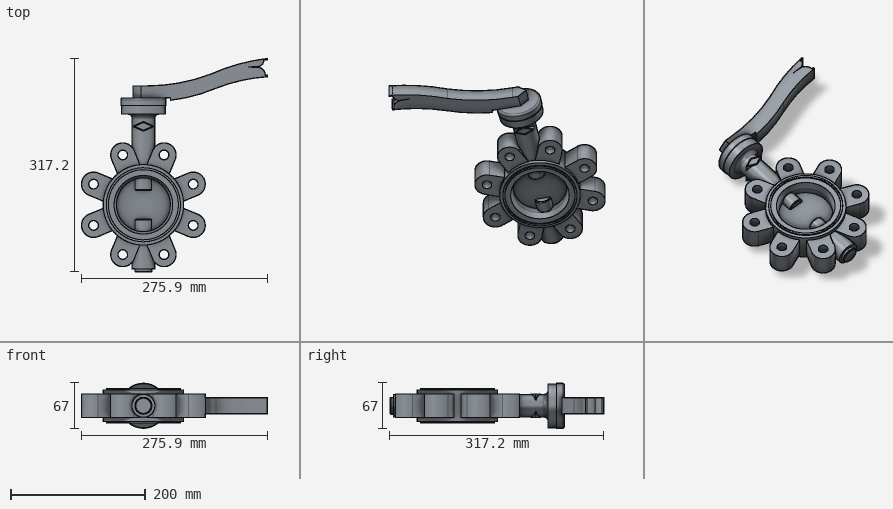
import cadquery as cq
import math


collar_radius = 59.75
collar_height = 47.0
rim_outer_radius = 55.0
rim_inner_radius = 52.0
rim_height = 2.0
bore_radius = 40.0
bore_mouth_radius = 43.5
bore_cone_depth = 11.0

lug_count = 8
lug_bolt_circle_radius = 80.0
lug_end_radius = 18.0
lug_height = 35.5
lug_hole_diameter = 14.0
lug_step_angle = 360 / lug_count
lug_inner_reach = 50.0

neck_radius = 17.0
neck_bottom_y = -95.0
stem_radius = 12.6
stem_bottom_y = -100.0
stem_gap_half = 21.0
stem_chamfer = 1.3

disc_thickness = 6.0

flange_bottom_y = 134.3
flange_split_y = 147.0
flange_top_y = 158.7
flange_lower_radius = 32.65
flange_upper_radius = 33.5
flange_top_fillet = 3.0
neck_flare = 5.6

diamond_y = 116.3
diamond_half_width = 14.9
diamond_half_length = 7.2
diamond_tip_half = 0.5
diamond_height = lug_height
diamond_frame = 1.2
diamond_recess = 0.5

lever_thickness = 24.0
lever_tip_x = -15.6
lever_end_x = 184.0
lever_seat_end_x = 40.1
lever_top_start = (5.0, 176.5)
lever_top_inflection = (100.0, 194.0)
lever_top_end = (lever_end_x, 217.2)
lever_top_radii = (265.0, 290.0)
lever_bottom_start = (lever_seat_end_x, 154.8)
lever_bottom_inflection = (108.0, 172.8)
lever_bottom_end = (lever_end_x, 189.8)
lever_bottom_radii = (250.0, 250.0)

fork_lip = 2.4
fork_upper_radius = 9.9
fork_lower_radius = 12.0
fork_mouth_x = 169.0
fork_slit_tip = (156.0, 204.5)


def stem_cylinder(radius, start_y, end_y):
    """Cylinder on the Y axis between two Y positions."""
    plane = cq.Plane(origin=(0, start_y, 0), xDir=(1, 0, 0), normal=(0, 1, 0))
    return cq.Workplane(plane).circle(radius).extrude(end_y - start_y)


def centred_disc(radius, height):
    """Cylinder on the Z axis, symmetric about Z = 0."""
    return cq.Workplane("XY").circle(radius).extrude(height / 2, both=True)


def make_lugs():
    """Ring of round-ended lugs."""
    lugs = cq.Workplane("XY")
    for index in range(lug_count):
        lug = (
            cq.Workplane("XY")
            .moveTo(lug_inner_reach, -lug_end_radius)
            .lineTo(lug_bolt_circle_radius, -lug_end_radius)
            .threePointArc(
                (lug_bolt_circle_radius + lug_end_radius, 0),
                (lug_bolt_circle_radius, lug_end_radius),
            )
            .lineTo(lug_inner_reach, lug_end_radius)
            .close()
            .extrude(lug_height / 2, both=True)
        )
        angle = (index + 0.5) * lug_step_angle
        lugs = lugs.add(lug.rotate((0, 0, 0), (0, 0, 1), angle))
    return lugs.combine()


def make_lug_holes():
    """Through holes on the bolt circle."""
    return (
        cq.Workplane("XY")
        .polarArray(lug_bolt_circle_radius, lug_step_angle / 2, 360, lug_count)
        .circle(lug_hole_diameter / 2)
        .extrude(lug_height, both=True)
    )


def make_neck():
    """Neck with its flare and the two-step top flange, revolved about the Y axis."""
    flare_radius = neck_radius + neck_flare
    flare_start_y = flange_bottom_y - neck_flare
    arc_offset = neck_flare * (1 - math.sqrt(0.5))
    profile = (
        cq.Workplane("XY")
        .moveTo(0, neck_bottom_y)
        .lineTo(neck_radius, neck_bottom_y)
        .lineTo(neck_radius, flare_start_y)
        .threePointArc(
            (neck_radius + arc_offset, flange_bottom_y - arc_offset),
            (flare_radius, flange_bottom_y),
        )
        .lineTo(flange_lower_radius, flange_bottom_y)
        .lineTo(flange_lower_radius, flange_split_y)
        .lineTo(flange_upper_radius, flange_split_y)
        .lineTo(flange_upper_radius, flange_top_y)
        .lineTo(0, flange_top_y)
        .close()
    )
    neck = profile.revolve(360, (0, 0, 0), (0, 1, 0))
    return neck.faces(">Y").edges().fillet(flange_top_fillet)


def diamond_outline(plane_z):
    """Diamond with blunt side tips, drawn at the given height."""
    return (
        cq.Workplane("XY", origin=(0, diamond_y, plane_z))
        .polyline([
            (diamond_half_width, -diamond_tip_half),
            (diamond_half_width, diamond_tip_half),
            (0, diamond_half_length),
            (-diamond_half_width, diamond_tip_half),
            (-diamond_half_width, -diamond_tip_half),
            (0, -diamond_half_length),
        ])
        .close()
    )


def make_diamond_pads():
    """Diamond prism through the neck; each proud end has a shallow recess inside a narrow frame."""
    half = diamond_height / 2
    floor_z = half - diamond_recess
    recess = diamond_outline(floor_z).offset2D(-diamond_frame).extrude(diamond_recess)
    prism = diamond_outline(0).extrude(half, both=True)
    return prism.cut(recess).cut(recess.mirror("XY"))


def make_bore():
    """Cylindrical bore that opens into a cone towards both collar faces."""
    face_z = collar_height / 2
    cone_z = face_z - bore_cone_depth
    return (
        cq.Workplane("XZ")
        .polyline([
            (0, -face_z),
            (bore_mouth_radius, -face_z),
            (bore_radius, -cone_z),
            (bore_radius, cone_z),
            (bore_mouth_radius, face_z),
            (0, face_z),
        ])
        .close()
        .revolve(360, (0, 0, 0), (0, 1, 0))
    )


def make_closure():
    """Closing disc with the two stem stubs that carry it."""
    stub_outer_y = (bore_radius + collar_radius) / 2
    upper_stub = stem_cylinder(stem_radius, stem_gap_half, stub_outer_y)
    upper_stub = upper_stub.faces("<Y").chamfer(stem_chamfer)
    lower_stub = upper_stub.mirror("XZ")
    return centred_disc(bore_radius, disc_thickness).union(upper_stub).union(lower_stub)


def make_valve():
    """Valve body with neck, lugs, closure and lower stem end."""
    rim_span = collar_height + 2 * rim_height
    rim = centred_disc(rim_outer_radius, rim_span).cut(centred_disc(rim_inner_radius, rim_span))
    stem_end = stem_cylinder(stem_radius, stem_bottom_y, neck_bottom_y)
    stem_end = stem_end.faces("<Y").chamfer(stem_chamfer)
    return (
        centred_disc(collar_radius, collar_height)
        .union(rim)
        .union(make_lugs())
        .union(make_neck())
        .union(make_diamond_pads())
        .cut(make_lug_holes())
        .cut(make_bore())
        .union(make_closure())
        .union(stem_end)
    )


def lobe_middle(centre_x, centre_y, radius, side):
    """Point halfway round a quarter lobe; side is +1 above the centre, -1 below it."""
    reach = radius * math.sqrt(0.5)
    return (centre_x + reach, centre_y + side * reach)


def make_lever():
    """S-shaped hand lever with a forked end and a V-shaped front."""
    top_lip_y = lever_top_end[1] - fork_lip
    bottom_lip_y = lever_bottom_end[1] + fork_lip
    upper_mouth_y = top_lip_y - fork_upper_radius
    lower_mouth_y = bottom_lip_y + fork_lower_radius
    lever = (
        cq.Workplane("XY")
        .moveTo(lever_tip_x, flange_top_y)
        .lineTo(lever_tip_x, lever_top_start[1])
        .lineTo(*lever_top_start)
        .radiusArc(lever_top_inflection, -lever_top_radii[0])
        .radiusArc(lever_top_end, lever_top_radii[1])
        .lineTo(lever_end_x, top_lip_y)
        .lineTo(fork_mouth_x + fork_upper_radius, top_lip_y)
        .threePointArc(
            lobe_middle(fork_mouth_x, top_lip_y, fork_upper_radius, -1),
            (fork_mouth_x, upper_mouth_y),
        )
        .lineTo(*fork_slit_tip)
        .lineTo(fork_mouth_x, lower_mouth_y)
        .threePointArc(
            lobe_middle(fork_mouth_x, bottom_lip_y, fork_lower_radius, 1),
            (fork_mouth_x + fork_lower_radius, bottom_lip_y),
        )
        .lineTo(lever_end_x, bottom_lip_y)
        .lineTo(*lever_bottom_end)
        .radiusArc(lever_bottom_inflection, -lever_bottom_radii[0])
        .radiusArc(lever_bottom_start, lever_bottom_radii[1])
        .lineTo(lever_seat_end_x, flange_top_y)
        .close()
        .extrude(lever_thickness / 2, both=True)
    )
    half = lever_thickness / 2
    front_edge_x = lever_tip_x + half
    front_plane = cq.Plane(origin=(0, 0, 0), xDir=(1, 0, 0), normal=(0, 1, 0))
    envelope = (
        cq.Workplane(front_plane)
        .polyline([
            (lever_tip_x, 0),
            (front_edge_x, half),
            (lever_end_x, half),
            (lever_end_x, -half),
            (front_edge_x, -half),
        ])
        .close()
        .extrude(lever_top_end[1])
    )
    return lever.intersect(envelope)


valve = make_valve()
lever = make_lever()

result = cq.Compound.makeCompound([valve.val(), lever.val()])